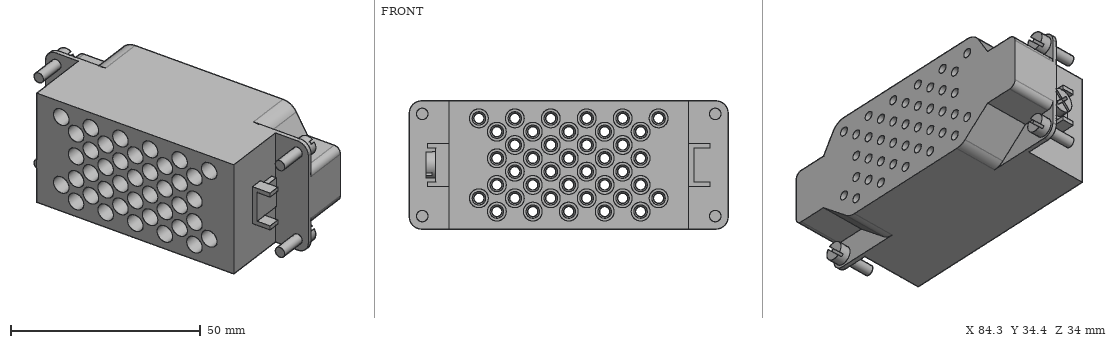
import cadquery as cq
import math

length = 84.3
depth = 34.4
height = 34.0

body_length = 63.2
flange_front = 19.4
flange_thickness = 1.3
flange_rear = flange_front + flange_thickness
flange_corner_radius = 3.4

wing_height = 17.0
wing_corner_radius = 2.0
top_shoulder_angle = 59.0
bottom_shoulder_angle = 40.0
shoulder_radius = 5.0

contacts_per_row = [6, 5, 4, 5, 4, 5, 6, 5]
contact_span = 47.5
row_span = 24.6
contact_pitch = contact_span / (max(contacts_per_row) - 1)
row_pitch = row_span / (len(contacts_per_row) - 1)
cavity_diameter = 5.0
cavity_depth = 13.5
contact_diameter = 2.6
lead_in_diameter = 3.5
lead_in_depth = 0.5

slot_width = 0.85
slot_angle = 45.0

fixing_x = 38.7
fixing_z = 13.5
shank_diameter = 3.0
shank_length = 8.2
head_diameter = 5.5
head_height = 3.3
slot_depth = 1.3

terminal_front = 8.7
terminal_depth = 8.9
terminal_width = 8.9
guard_depth = 3.6
guard_reach = 5.65
guard_thickness = 1.3
screw_side_reach = 3.5
plain_side_reach = 1.5

clamp_diameter = 7.0
clamp_height = 2.6
cross_length = 4.6
cross_depth = 1.6


def box_between(x_range, y_range, z_range):
    """Axis-aligned box from three (low, high) ranges."""
    sizes = [high - low for low, high in (x_range, y_range, z_range)]
    corner = (x_range[0], y_range[0], z_range[0])
    return cq.Workplane("XY").box(*sizes, centered=False).translate(corner)


def rod_along_y(x, z, diameter, y_start, y_end):
    """Round rod parallel to Y."""
    rod = cq.Workplane("XZ", origin=(x, y_start, z)).circle(diameter / 2)
    return rod.extrude(y_start - y_end)


def make_housing():
    front = box_between(
        (-body_length / 2, body_length / 2), (0, flange_front), (-height / 2, height / 2)
    )
    flange = (
        box_between((-length / 2, length / 2), (flange_front, flange_rear), (-height / 2, height / 2))
        .edges("|Y")
        .fillet(flange_corner_radius)
    )
    wings = (
        box_between((-length / 2, length / 2), (flange_rear, depth), (-wing_height / 2, wing_height / 2))
        .edges("|Y")
        .fillet(wing_corner_radius)
    )
    return front.union(flange).union(wings).union(make_hood())


def make_hood():
    """Tall middle of the rear section, tapering from the wings to the top and bottom faces."""
    foot_x = body_length / 2
    foot_z = wing_height / 2
    face_z = height / 2
    shoulder_rise = face_z - foot_z
    top_x = foot_x - shoulder_rise / math.tan(math.radians(top_shoulder_angle))
    bottom_x = foot_x - shoulder_rise / math.tan(math.radians(bottom_shoulder_angle))
    outline = [
        (-foot_x, -foot_z),
        (-bottom_x, -face_z),
        (bottom_x, -face_z),
        (foot_x, -foot_z),
        (foot_x, foot_z),
        (top_x, face_z),
        (-top_x, face_z),
        (-foot_x, foot_z),
    ]
    hood = cq.Workplane("XZ", origin=(0, flange_rear, 0)).polyline(outline).close()
    hood = hood.extrude(flange_rear - depth)
    return hood.edges("|Y").edges(">Z or <Z").fillet(shoulder_radius)


def contact_positions():
    middle_row = (len(contacts_per_row) - 1) / 2
    positions = []
    for row, count in enumerate(contacts_per_row):
        z = (middle_row - row) * row_pitch
        for column in range(count):
            x = (column - (count - 1) / 2) * contact_pitch
            positions.append((x, z))
    return positions


def make_cavities():
    """Through holes: a wide cavity at the front, then a conical lead-in to the contact bore."""
    lead_in_end = cavity_depth + lead_in_depth
    profile = [
        (0, 0),
        (cavity_diameter / 2, 0),
        (cavity_diameter / 2, cavity_depth),
        (lead_in_diameter / 2, cavity_depth),
        (contact_diameter / 2, lead_in_end),
        (contact_diameter / 2, depth),
        (0, depth),
    ]
    cavity = cq.Workplane("XY").polyline(profile).close().revolve(360, (0, 0), (0, 1)).val()
    cavities = [cavity.translate(cq.Vector(x, 0, z)) for x, z in contact_positions()]
    return cq.Workplane("XY").newObject([cq.Compound.makeCompound(cavities)])


def make_fixing_screw(x, z):
    """Screw through the flange, its slotted head behind it and its shank in front."""
    head_end = flange_rear + head_height
    shank = rod_along_y(x, z, shank_diameter, flange_front - shank_length, flange_rear)
    head = rod_along_y(x, z, head_diameter, flange_rear, head_end)
    slot = (
        cq.Workplane("XY")
        .box(2 * head_diameter, 2 * slot_depth, slot_width)
        .rotate((0, 0, 0), (0, 1, 0), -slot_angle)
        .translate((x, head_end, z))
    )
    return shank.union(head.cut(slot))


def make_terminal(reach):
    """Terminal block on the +X end, flanked by two longer guards."""
    end_x = body_length / 2
    guard_y = (terminal_front, terminal_front + guard_depth)
    block_y = (terminal_front, terminal_front + terminal_depth)
    half_width = terminal_width / 2
    terminal = box_between((end_x, end_x + reach), block_y, (-half_width, half_width))
    for low in (half_width, -half_width - guard_thickness):
        guard = box_between((end_x, end_x + guard_reach), guard_y, (low, low + guard_thickness))
        terminal = terminal.union(guard)
    return terminal


def make_clamp_screw():
    """Cross-slotted screw head on the -X terminal."""
    seat_x = -body_length / 2 - screw_side_reach
    face_x = seat_x - clamp_height
    axis_y = terminal_front + terminal_depth / 2
    head = cq.Workplane("YZ", origin=(seat_x, axis_y, 0)).circle(clamp_diameter / 2)
    head = head.extrude(-clamp_height)
    for slot_length, angle in ((2 * clamp_diameter, slot_angle), (cross_length, slot_angle + 90)):
        slot = (
            cq.Workplane("XY")
            .box(2 * cross_depth, slot_length, slot_width)
            .rotate((0, 0, 0), (1, 0, 0), angle)
            .translate((face_x, axis_y, 0))
        )
        head = head.cut(slot)
    return head


result = make_housing().cut(make_cavities())
for fixing_side in (-1, 1):
    for fixing_level in (-1, 1):
        result = result.union(make_fixing_screw(fixing_side * fixing_x, fixing_level * fixing_z))
result = result.union(make_terminal(plain_side_reach))
result = result.union(make_terminal(screw_side_reach).mirror("YZ"))
result = result.union(make_clamp_screw())